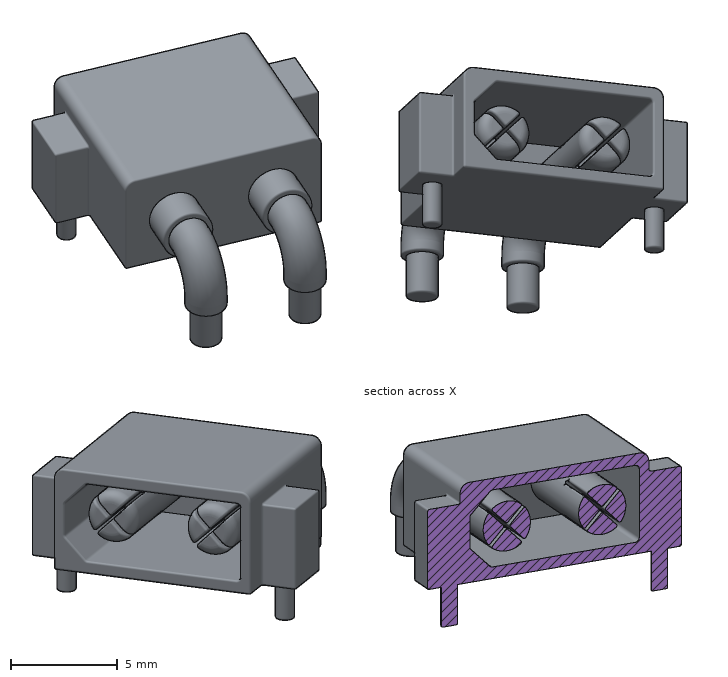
import cadquery as cq


housing_length = 9.0
housing_width = 9.9
housing_height = 5.01
top_edge_radius = 0.5
edge_radius = 0.1

side_wall = 0.53
floor_wall = 0.6
cavity_depth = 8.0
key_chamfer = 1.1
cavity_corner_radius = 0.2

total_width = 13.3
ear_length = 3.0
ear_height = 4.0
ear_center_x = 2.96
peg_diameter = 0.9
peg_spacing = 10.99

contact_spacing = 5.0
contact_z = housing_height / 2
contact_diameter = 2.5
contact_tip_x = 1.0
contact_rear_x = 10.8
contact_tip_radius = 0.5
slot_width = 0.15
slot_depth = 4.0
slot_floor_x = contact_tip_x + slot_depth

total_length = 13.95
tail_diameter = 2.0
bend_radius = 2.0
solder_pin_diameter = 1.5
pin_length = 2.0
tail_end_x = total_length - tail_diameter / 2
bend_start_x = tail_end_x - bend_radius
bend_end_z = contact_z - bend_radius


def block(length, width, height):
    """Block resting on Z = 0, centred on X and Y."""
    return cq.Workplane("XY").box(length, width, height, centered=(True, True, False))


def x_cylinder(diameter, start_x, end_x, y):
    """Cylinder along X at the height of the contacts."""
    profile = cq.Workplane("YZ", origin=(start_x, y, contact_z)).circle(diameter / 2)
    return profile.extrude(end_x - start_x)


def down_pin(diameter, x, y, top_z):
    """Vertical pin with a rounded lower end, reaching pin_length below the housing."""
    pin = cq.Workplane("XY", origin=(x, y, top_z)).circle(diameter / 2).extrude(-pin_length - top_z)
    return pin.faces("<Z").edges().fillet(edge_radius)


def make_shell():
    """Housing and ears with all outer edges and the ear roots rounded."""
    housing = block(housing_length, housing_width, housing_height)
    housing = housing.translate((housing_length / 2, 0, 0))
    housing = housing.edges("|X and >Z").fillet(top_edge_radius)
    ears = block(ear_length, total_width, ear_height)
    ears = ears.translate((ear_center_x, 0, 0))
    return housing.union(ears).edges("not(>Z and |X)").fillet(edge_radius)


def make_cavity():
    """Keyed cavity, cut from the mating face."""
    half_width = housing_width / 2 - side_wall
    bottom = floor_wall
    top = housing_height - floor_wall
    key_y = half_width - key_chamfer
    cavity = (
        cq.Workplane("YZ")
        .moveTo(-half_width, bottom)
        .lineTo(key_y, bottom)
        .lineTo(half_width, bottom + key_chamfer)
        .lineTo(half_width, top - key_chamfer)
        .lineTo(key_y, top)
        .lineTo(-half_width, top)
        .close()
        .extrude(cavity_depth)
    )
    return cavity.edges("|X").fillet(cavity_corner_radius)


def round_mouth(housing):
    """Round the rim of the cavity on the mating face."""
    rim = housing.faces("<X").val().innerWires()[0]
    return housing.newObject(rim.Edges()).fillet(edge_radius)


def make_prong(y):
    """One quarter of the slotted tip, on the +Y +Z side, with its slot edges rounded."""
    tip = x_cylinder(contact_diameter, contact_tip_x, slot_floor_x, y)
    tip = tip.faces("<X").edges().fillet(contact_tip_radius)
    quarter = cq.Workplane("XY").box(slot_depth, contact_diameter, contact_diameter, centered=False)
    prong = tip.intersect(quarter.translate((contact_tip_x, y + slot_width / 2, contact_z + slot_width / 2)))
    return prong.faces("<Y or <Z").edges("not(>X)").fillet(edge_radius)


def make_contact(y):
    """Contact with a tip cross-slotted to a round bottom, a barrel, a bent tail and a solder pin."""
    contact = x_cylinder(contact_diameter, slot_floor_x, contact_rear_x, y)
    contact = contact.faces(">X").edges().fillet(edge_radius)
    axis_start = (0, y, contact_z)
    axis_end = (1, y, contact_z)
    prong = make_prong(y)
    groove = cq.Workplane("XY", origin=(slot_floor_x, y, contact_z)).circle(slot_width / 2)
    groove = groove.extrude(contact_diameter, both=True)
    for angle in (45, 135):
        contact = contact.cut(groove.rotate(axis_start, axis_end, angle))
    for angle in (45, 135, 225, 315):
        contact = contact.union(prong.rotate(axis_start, axis_end, angle))

    tail_path = (
        cq.Workplane("XZ", origin=(0, y, 0))
        .moveTo(contact_rear_x, contact_z)
        .lineTo(bend_start_x, contact_z)
        .radiusArc((tail_end_x, bend_end_z), bend_radius)
        .lineTo(tail_end_x, 0)
    )
    tail_section = cq.Workplane("YZ", origin=(contact_rear_x, y, contact_z)).circle(tail_diameter / 2)
    tail = tail_section.sweep(tail_path).faces("<Z").edges().fillet(edge_radius)
    return contact.union(tail).union(down_pin(solder_pin_diameter, tail_end_x, y, 0))


result = round_mouth(make_shell().cut(make_cavity()))
for side in (-1, 1):
    result = result.union(make_contact(side * contact_spacing / 2))
    result = result.union(down_pin(peg_diameter, ear_center_x, side * peg_spacing / 2, 0))